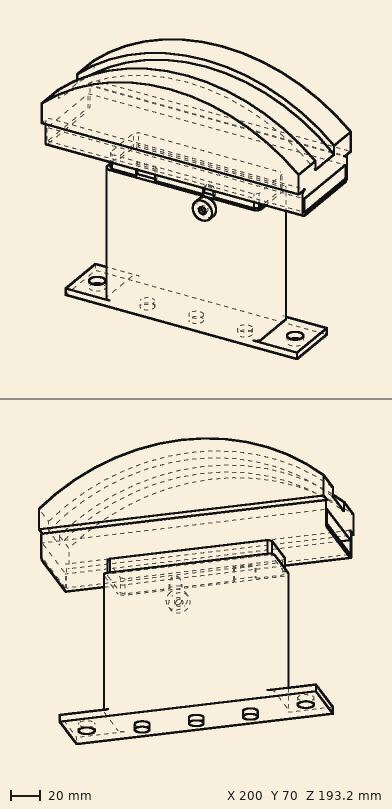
import cadquery as cq
import math

PLATE_LENGTH = 180
PLATE_WIDTH = 40
PLATE_THICKNESS = 5.0
MOUNT_HOLE_DIAMETER = 11.0
MOUNT_HOLE_EDGE_DISTANCE = 13.0

SCREW_HEAD_HEIGHT = 4
SCREW_HEAD_DIAMETER = 10
SCREW_SPACING = 38

SLEEVE_LENGTH = 120
SLEEVE_WIDTH = PLATE_WIDTH
SLEEVE_HEIGHT = 100
SLEEVE_CORNER_RADIUS = 4
SLEEVE_WALL = 2.2
COLUMN_EXPOSED_HEIGHT = 11.0
COLUMN_CHAMFER = 2.5

RECESS_DEPTH = 2.5
WINDOW_WIDTH = 15.0
WINDOW_CENTER_X = -29.2
WINDOW_TOP_GAP = 2
SLOT_WIDTH = 8.5
SLOT_TOP_WIDTH = 4.5
SLOT_SHOULDER_DROP = 3.2
SLOT_TOP_GAP = 4

CLAMP_X = 19.5
CLAMP_DIAMETER = 15.0
CLAMP_HEIGHT = 5.5
CLAMP_DROP = 7.8
SOCKET_DIAMETER = 5.2
SOCKET_DEPTH = 3.0

CHANNEL_WIDTH = 60
CHANNEL_HEIGHT = 20
CHANNEL_INNER_WIDTH = 55.0
CHANNEL_WALL = (CHANNEL_WIDTH - CHANNEL_INNER_WIDTH) / 2
CHANNEL_OPENING = 36
CHANNEL_BEND_RADIUS = 3.2

SADDLE_LENGTH = 200
SADDLE_WIDTH = 70
SADDLE_END_HEIGHT = 15.0
SADDLE_RADIUS = 150
GROOVE_WIDTH = 25.2
GROOVE_DEPTH = 5.0
SADDLE_FOOT_THICKNESS = 4.5

PLATE_BOTTOM = SCREW_HEAD_HEIGHT
PLATE_TOP = PLATE_BOTTOM + PLATE_THICKNESS
SLEEVE_TOP = PLATE_TOP + SLEEVE_HEIGHT
CHANNEL_BOTTOM = SLEEVE_TOP + COLUMN_EXPOSED_HEIGHT
CHANNEL_TOP = CHANNEL_BOTTOM + CHANNEL_HEIGHT
SADDLE_END_TOP = CHANNEL_TOP + SADDLE_END_HEIGHT
ARCH_CENTER_Z = SADDLE_END_TOP - math.sqrt(SADDLE_RADIUS**2 - (SADDLE_LENGTH / 2) ** 2)


def block(length, width, bottom, top):
    """Box centred on the Z axis between two levels."""
    return cq.Workplane("XY", origin=(0, 0, bottom)).rect(length, width).extrude(top - bottom)


def base_plate():
    hole_x = PLATE_LENGTH / 2 - MOUNT_HOLE_EDGE_DISTANCE
    plate = block(PLATE_LENGTH, PLATE_WIDTH, PLATE_BOTTOM, PLATE_TOP)
    holes = (
        cq.Workplane("XY", origin=(0, 0, PLATE_BOTTOM))
        .pushPoints([(-hole_x, 0), (hole_x, 0)])
        .circle(MOUNT_HOLE_DIAMETER / 2)
        .extrude(PLATE_THICKNESS)
    )
    return plate.cut(holes)


def screw_heads():
    return (
        cq.Workplane("XY")
        .pushPoints([(-SCREW_SPACING, 0), (0, 0), (SCREW_SPACING, 0)])
        .circle(SCREW_HEAD_DIAMETER / 2)
        .extrude(SCREW_HEAD_HEIGHT)
    )


def sleeve():
    body = block(SLEEVE_LENGTH, SLEEVE_WIDTH, PLATE_TOP, SLEEVE_TOP)
    return body.edges("|Z").fillet(SLEEVE_CORNER_RADIUS)


def column():
    """Exposed part of the column, with a window and a slot narrowed at its top in its front."""
    length = SLEEVE_LENGTH - 2 * SLEEVE_WALL
    width = SLEEVE_WIDTH - 2 * SLEEVE_WALL
    body = block(length, width, SLEEVE_TOP, CHANNEL_BOTTOM).edges("|Z").chamfer(COLUMN_CHAMFER)
    front = cq.Workplane("XZ", origin=(0, -width / 2, SLEEVE_TOP))

    window_height = COLUMN_EXPOSED_HEIGHT - WINDOW_TOP_GAP
    window = (
        front.center(WINDOW_CENTER_X, window_height / 2)
        .rect(WINDOW_WIDTH, window_height)
        .extrude(-RECESS_DEPTH)
    )
    slot_top = COLUMN_EXPOSED_HEIGHT - SLOT_TOP_GAP
    slot_shoulder = slot_top - SLOT_SHOULDER_DROP
    slot = (
        front.center(CLAMP_X, 0)
        .moveTo(-SLOT_WIDTH / 2, 0)
        .lineTo(-SLOT_WIDTH / 2, slot_shoulder)
        .lineTo(-SLOT_TOP_WIDTH / 2, slot_top)
        .lineTo(SLOT_TOP_WIDTH / 2, slot_top)
        .lineTo(SLOT_WIDTH / 2, slot_shoulder)
        .lineTo(SLOT_WIDTH / 2, 0)
        .close()
        .extrude(-RECESS_DEPTH)
    )
    return body.cut(window).cut(slot)


def clamping_screw():
    """Round screw head with a blind round socket in its front face."""
    head_z = SLEEVE_TOP - CLAMP_DROP
    face_y = -SLEEVE_WIDTH / 2
    head = (
        cq.Workplane("XZ", origin=(CLAMP_X, face_y, head_z))
        .circle(CLAMP_DIAMETER / 2)
        .extrude(CLAMP_HEIGHT)
    )
    socket = (
        cq.Workplane("XZ", origin=(CLAMP_X, face_y - CLAMP_HEIGHT, head_z))
        .circle(SOCKET_DIAMETER / 2)
        .extrude(-SOCKET_DEPTH)
    )
    return head.cut(socket)


def channel():
    """C-channel open at the top, with two inward lips."""
    outer = block(SADDLE_LENGTH, CHANNEL_WIDTH, CHANNEL_BOTTOM, CHANNEL_TOP)
    outer = outer.edges("|X").fillet(CHANNEL_BEND_RADIUS)
    floor_top = CHANNEL_BOTTOM + CHANNEL_WALL
    lip_bottom = CHANNEL_TOP - CHANNEL_WALL
    cavity = block(SADDLE_LENGTH, CHANNEL_INNER_WIDTH, floor_top, lip_bottom)
    cavity = cavity.edges("|X").fillet(CHANNEL_BEND_RADIUS - CHANNEL_WALL)
    opening = block(SADDLE_LENGTH, CHANNEL_OPENING, lip_bottom, CHANNEL_TOP)
    return outer.cut(cavity).cut(opening)


def arched_profile(bottom, radius):
    """XZ outline with a flat bottom, upright ends and an arched top."""
    half_length = SADDLE_LENGTH / 2
    end_top = ARCH_CENTER_Z + math.sqrt(radius**2 - half_length**2)
    return (
        cq.Workplane("XZ")
        .moveTo(-half_length, bottom)
        .lineTo(-half_length, end_top)
        .threePointArc((0, ARCH_CENTER_Z + radius), (half_length, end_top))
        .lineTo(half_length, bottom)
        .close()
    )


def saddle():
    """Arched rails on either side of a lower arched groove floor, with a foot in the channel."""
    rails = arched_profile(CHANNEL_TOP, SADDLE_RADIUS).extrude(SADDLE_WIDTH / 2, both=True)
    groove = block(SADDLE_LENGTH, GROOVE_WIDTH, CHANNEL_TOP, ARCH_CENTER_Z + SADDLE_RADIUS)
    floor_radius = SADDLE_RADIUS - GROOVE_DEPTH
    groove_floor = arched_profile(CHANNEL_TOP, floor_radius).extrude(GROOVE_WIDTH / 2, both=True)

    lip_bottom = CHANNEL_TOP - CHANNEL_WALL
    neck = block(SADDLE_LENGTH, CHANNEL_OPENING, lip_bottom, CHANNEL_TOP)
    foot_bottom = lip_bottom - SADDLE_FOOT_THICKNESS
    foot = block(SADDLE_LENGTH, CHANNEL_INNER_WIDTH, foot_bottom, lip_bottom)
    foot = foot.edges("|X and >Z").fillet(CHANNEL_BEND_RADIUS - CHANNEL_WALL)
    return rails.cut(groove).union(groove_floor).union(neck).union(foot)


result = (
    base_plate()
    .union(screw_heads())
    .union(sleeve())
    .union(column())
    .union(clamping_screw())
    .union(channel())
    .union(saddle())
)